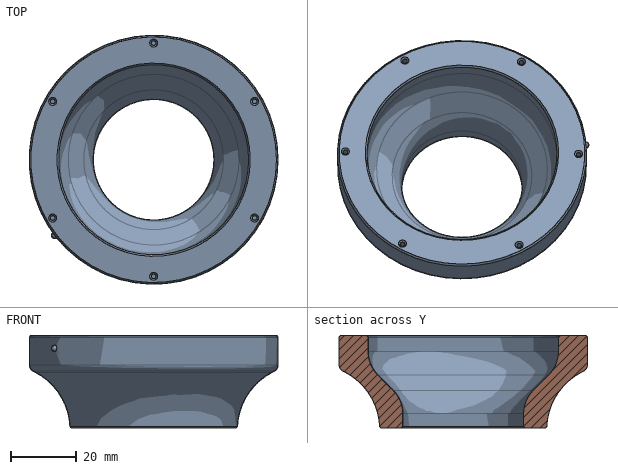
import cadquery as cq
import math

TOTAL_HEIGHT = 28.35
FLANGE_RADIUS = 76.0 / 2
EDGE_CHAMFER = 0.5

FLARE_RADIUS = 19.6
FLARE_CENTRE_R = 45.2
FLARE_CENTRE_Z = -28.7
CONE_ANGLE = math.radians(62)
FLANGE_FILLET = 2.0

WIDE_BORE_RADIUS = 58.0 / 2
WIDE_BORE_DEPTH = 5.0
NARROW_BORE_RADIUS = 36.8 / 2
THROAT_ANGLE = math.radians(45)
THROAT_BLEND = 10.0

HOLE_COUNT = 6
HOLE_CIRCLE_RADIUS = 35.6
FIRST_HOLE_ANGLE = 90.0
HOLE_DIAMETER = 1.4
COUNTERSINK_DIAMETER = 2.4
COUNTERSINK_ANGLE = 90.0
HOLE_DEPTH = 5.0

BALL_RADIUS = 1.0
BALL_ANGLE = math.radians(180 + 37.4)
BALL_Z = -4.0


def circle_point(centre, radius, angle):
    """Point on a circle in a plane, the angle measured from the first axis."""
    return (centre[0] + radius * math.cos(angle), centre[1] + radius * math.sin(angle))


def profile_wire():
    """Closed (r, z) section of the ring; the top face is at z = 0."""
    chamfer_top_z = EDGE_CHAMFER - TOTAL_HEIGHT

    flare_centre = (FLARE_CENTRE_R, FLARE_CENTRE_Z)
    flare_low_angle = math.pi - math.asin((chamfer_top_z - FLARE_CENTRE_Z) / FLARE_RADIUS)
    flare_high_angle = math.pi - CONE_ANGLE
    flare_mid_angle = (flare_low_angle + flare_high_angle) / 2
    flare_low = circle_point(flare_centre, FLARE_RADIUS, flare_low_angle)
    flare_mid = circle_point(flare_centre, FLARE_RADIUS, flare_mid_angle)
    flare_high = circle_point(flare_centre, FLARE_RADIUS, flare_high_angle)

    fillet_centre_r = FLANGE_RADIUS - FLANGE_FILLET
    fillet_low_r = fillet_centre_r + FLANGE_FILLET * math.cos(CONE_ANGLE)
    fillet_low_z = flare_high[1] + (fillet_low_r - flare_high[0]) / math.tan(CONE_ANGLE)
    fillet_centre_z = fillet_low_z + FLANGE_FILLET * math.sin(CONE_ANGLE)
    fillet_centre = (fillet_centre_r, fillet_centre_z)
    fillet_mid = circle_point(fillet_centre, FLANGE_FILLET, -CONE_ANGLE / 2)

    upper_centre = (WIDE_BORE_RADIUS - THROAT_BLEND, -WIDE_BORE_DEPTH)
    upper_mid = circle_point(upper_centre, THROAT_BLEND, -THROAT_ANGLE / 2)
    upper_end = circle_point(upper_centre, THROAT_BLEND, -THROAT_ANGLE)
    lower_centre_r = NARROW_BORE_RADIUS + THROAT_BLEND
    lower_start_r = lower_centre_r - THROAT_BLEND * math.cos(THROAT_ANGLE)
    lower_start_z = upper_end[1] - (upper_end[0] - lower_start_r) / math.tan(THROAT_ANGLE)
    lower_centre = (lower_centre_r, lower_start_z - THROAT_BLEND * math.sin(THROAT_ANGLE))
    lower_mid = circle_point(lower_centre, THROAT_BLEND, math.pi - THROAT_ANGLE / 2)

    return (
        cq.Workplane("XZ")
        .moveTo(NARROW_BORE_RADIUS, chamfer_top_z)
        .lineTo(NARROW_BORE_RADIUS + EDGE_CHAMFER, -TOTAL_HEIGHT)
        .lineTo(flare_low[0] - EDGE_CHAMFER, -TOTAL_HEIGHT)
        .lineTo(*flare_low)
        .threePointArc(flare_mid, flare_high)
        .lineTo(fillet_low_r, fillet_low_z)
        .threePointArc(fillet_mid, (FLANGE_RADIUS, fillet_centre_z))
        .lineTo(FLANGE_RADIUS, -EDGE_CHAMFER)
        .lineTo(FLANGE_RADIUS - EDGE_CHAMFER, 0)
        .lineTo(WIDE_BORE_RADIUS + EDGE_CHAMFER, 0)
        .lineTo(WIDE_BORE_RADIUS, -EDGE_CHAMFER)
        .lineTo(WIDE_BORE_RADIUS, -WIDE_BORE_DEPTH)
        .threePointArc(upper_mid, upper_end)
        .lineTo(lower_start_r, lower_start_z)
        .threePointArc(lower_mid, (NARROW_BORE_RADIUS, lower_centre[1]))
        .close()
    )


def ring_body():
    return profile_wire().revolve(360, (0, 0, 0), (0, 1, 0))


def drill_screw_holes(body):
    return (
        body.copyWorkplane(cq.Workplane("XY"))
        .polarArray(HOLE_CIRCLE_RADIUS, FIRST_HOLE_ANGLE, 360, HOLE_COUNT)
        .cskHole(HOLE_DIAMETER, COUNTERSINK_DIAMETER, COUNTERSINK_ANGLE, HOLE_DEPTH)
    )


def index_ball():
    ball_x, ball_y = circle_point((0, 0), FLANGE_RADIUS, BALL_ANGLE)
    return cq.Workplane("XY").sphere(BALL_RADIUS).translate((ball_x, ball_y, BALL_Z))


result = drill_screw_holes(ring_body()).union(index_ball())